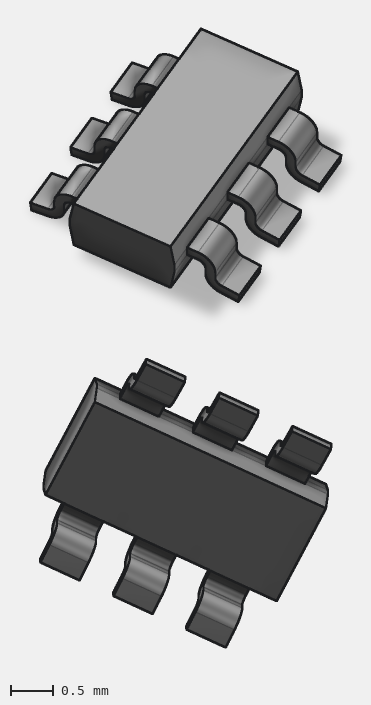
import cadquery as cq
import math

body_length = 3.0
body_width = 1.4
face_width = 1.295
body_top = 0.9
body_height = 0.765
body_bottom = body_top - body_height

span = 2.8
lead_width = 0.507
lead_pitch = 0.948
leads_per_side = 3
lead_thickness = 0.132
lead_top = 0.588
shank_outer_x = 1.077
inner_radius = 0.1
outer_radius = inner_radius + lead_thickness
foot_angle = math.radians(7)
lead_bottom = lead_top - lead_thickness
shank_inner_x = shank_outer_x - lead_thickness


def make_body():
    """Extrude the eight-sided end outline along Y."""
    outline = [
        (face_width / 2, body_bottom),
        (body_width / 2, lead_bottom),
        (body_width / 2, lead_top),
        (face_width / 2, body_top),
    ]
    mirrored = [(-x, z) for x, z in reversed(outline)]
    return (
        cq.Workplane("XZ")
        .polyline(outline + mirrored)
        .close()
        .extrude(body_length / 2, both=True)
    )


def arc_point(center, radius, angle):
    """Point at an angle measured from +X towards +Z."""
    return (center[0] + radius * math.cos(angle), center[1] + radius * math.sin(angle))


def make_lead(y):
    """Lead on the +X side, centred on the given Y and touching the belt."""
    shoulder = (shank_outer_x - outer_radius, lead_top - outer_radius)
    heel_x = shank_outer_x + inner_radius
    foot_run = span / 2 - heel_x + inner_radius * math.sin(foot_angle)
    heel_drop = inner_radius * math.cos(foot_angle)
    tip_rise = lead_thickness * math.cos(foot_angle)
    heel = (heel_x, tip_rise + foot_run * math.tan(foot_angle) + heel_drop)

    heel_start = math.pi
    heel_end = 1.5 * math.pi - foot_angle
    heel_middle = (heel_start + heel_end) / 2
    shoulder_middle = math.pi / 4

    tip_upper = (span / 2, tip_rise)
    tip_lower = (span / 2 - lead_thickness * math.sin(foot_angle), 0)

    profile = (
        cq.Workplane("XZ", origin=(0, y, 0))
        .moveTo(body_width / 2, lead_top)
        .lineTo(shoulder[0], lead_top)
        .threePointArc(
            arc_point(shoulder, outer_radius, shoulder_middle),
            (shank_outer_x, shoulder[1]),
        )
        .lineTo(shank_outer_x, heel[1])
        .threePointArc(
            arc_point(heel, inner_radius, heel_middle),
            arc_point(heel, inner_radius, heel_end),
        )
        .lineTo(*tip_upper)
        .lineTo(*tip_lower)
        .lineTo(*arc_point(heel, outer_radius, heel_end))
        .threePointArc(
            arc_point(heel, outer_radius, heel_middle),
            (shank_inner_x, heel[1]),
        )
        .lineTo(shank_inner_x, shoulder[1])
        .threePointArc(
            arc_point(shoulder, inner_radius, shoulder_middle),
            (shoulder[0], lead_bottom),
        )
        .lineTo(body_width / 2, lead_bottom)
        .close()
    )
    return profile.extrude(lead_width / 2, both=True)


body = make_body()

leads = []
for index in range(leads_per_side):
    lead_y = (index - (leads_per_side - 1) / 2) * lead_pitch
    lead = make_lead(lead_y)
    leads.append(lead.val())
    leads.append(lead.mirror("YZ").val())

result = cq.Compound.makeCompound([body.val(), *leads])